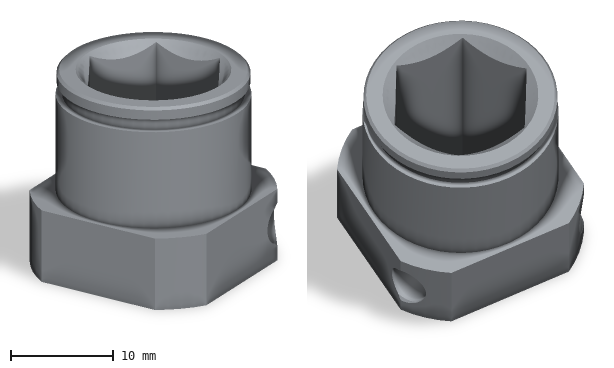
import cadquery as cq
import math

width = 20.32
height = 20.32

base_height = 7.58
corner_diameter = 24.15

sleeve_diameter = 19.1
groove_diameter = 17.85
groove_bottom = 17.78
groove_top = 19.05
collar_diameter = 18.92
collar_chamfer = 0.26

hex_across_flats = 12.7
lead_in_diameter = 15.18
lead_in_angle = 45.0

hole_diameter = 4.2
hole_angle = 30.0
hole_shift = 1.1
hole_height = base_height / 2
countersink_start = 11.8


def cylinder(diameter, bottom, top):
    return cq.Workplane("XY").workplane(offset=bottom).circle(diameter / 2).extrude(top - bottom)


def make_body():
    square = cq.Workplane("XY").rect(width, width).extrude(base_height)
    base = square.intersect(cylinder(corner_diameter, 0, base_height))
    sleeve = cylinder(sleeve_diameter, base_height, groove_bottom)
    neck = cylinder(groove_diameter, groove_bottom, groove_top)
    collar = cylinder(collar_diameter, groove_top, height).faces(">Z").chamfer(collar_chamfer)
    return base.union(sleeve).union(neck).union(collar)


def make_bore():
    hex_across_corners = hex_across_flats / math.cos(math.radians(30))
    hexagon = cq.Workplane("XY").polygon(6, hex_across_corners).extrude(height)
    lead_in_radius = lead_in_diameter / 2
    lead_in_depth = lead_in_radius / math.tan(math.radians(lead_in_angle))
    lead_in = (
        cq.Workplane("XZ")
        .moveTo(0, height)
        .lineTo(lead_in_radius, height)
        .lineTo(0, height - lead_in_depth)
        .close()
        .revolve(360, (0, 0, 0), (0, 1, 0))
    )
    return hexagon.union(lead_in)


def make_side_hole():
    """Hole with a 45 degree countersink, opening through the -X +Y corner."""
    radius = hole_diameter / 2
    hole_end = corner_diameter / 2 + radius
    countersink_radius = radius + hole_end - countersink_start
    cutter = (
        cq.Workplane("XY")
        .lineTo(radius, 0)
        .lineTo(radius, countersink_start)
        .lineTo(countersink_radius, hole_end)
        .lineTo(0, hole_end)
        .close()
        .revolve(360, (0, 0, 0), (0, 1, 0))
    )
    return (
        cutter.translate((hole_shift, 0, hole_height))
        .rotate((0, 0, 0), (0, 0, 1), 90 - hole_angle)
    )


side_hole = make_side_hole()
result = make_body().cut(make_bore()).cut(side_hole).cut(side_hole.mirror("YZ"))